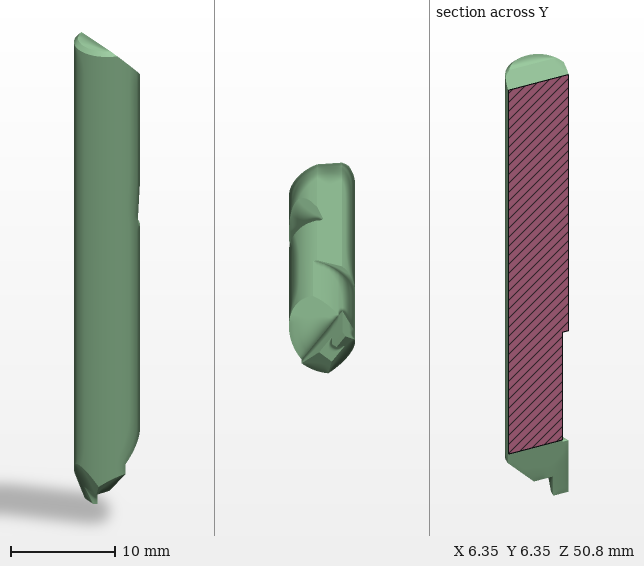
import cadquery as cq
import math

shank_diameter = 6.35
radius = shank_diameter / 2
length = 50.8
end_chamfer = 0.4
margin = 5.0

bevel_start_y = -1.28

notch_floor_z = 30.7
notch_top_z = 39.7
notch_slope = math.radians(10)
notch_fillet = 1.0

flat_start_y = 0.05
flat_end_y = 2.3

neck_bottom_z = 6.1
neck_top_z = 19.1
neck_x = -2.56
neck_half_width = 2.55
neck_radius = 5.3

rake_plane_y = 0.0
tip_bevel_top_z = 9.5
tip_width = 1.6
tip_notch_z = 2.28
heel_x = 0.45
heel_top_z = 5.25
side_relief_end_y = -2.2
land_y = -0.55
land_z = 0.17
front_relief_z = 5.73


def shank_x(y):
    """X of the -X side of the shank surface at a given Y."""
    return -math.sqrt(radius**2 - y**2)


def extrude_across(profile):
    """Turn a closed (Y, Z) sketch into a body spanning the shank in X."""
    return profile.close().extrude(radius + margin, both=True)


def shank():
    half_profile = [
        (0, 0),
        (radius, 0),
        (radius, length - end_chamfer),
        (radius - end_chamfer, length),
        (0, length),
    ]
    return cq.Workplane("XZ").polyline(half_profile).close().revolve(360, (0, 0), (0, 1))


def end_bevel():
    run = radius + margin - bevel_start_y
    rise = margin
    profile = cq.Workplane("YZ").polyline([
        (bevel_start_y - rise, length + rise),
        (bevel_start_y + run, length - run),
        (bevel_start_y + run, length + rise),
    ])
    return extrude_across(profile)


def clamping_notch():
    floor_y = radius - (notch_top_z - notch_floor_z) * math.tan(notch_slope)
    outer_y = radius + margin
    outer_z = notch_top_z + margin / math.tan(notch_slope)
    profile = cq.Workplane("YZ").polyline([
        (floor_y, notch_floor_z),
        (outer_y, notch_floor_z),
        (outer_y, outer_z),
    ])
    return extrude_across(profile).edges("|X and <Y").fillet(notch_fillet)


def orientation_flat():
    start_x = shank_x(flat_start_y)
    end_x = shank_x(flat_end_y)
    outline = [
        (start_x, flat_start_y),
        (end_x, flat_end_y),
        (end_x - margin, flat_end_y),
        (start_x - margin, flat_start_y),
    ]
    return (
        cq.Workplane("XY", origin=(0, 0, neck_bottom_z))
        .polyline(outline)
        .close()
        .extrude(length - neck_bottom_z)
    )


def neck_relief():
    end_x = shank_x(neck_half_width)
    outer_x = -radius - margin
    return (
        cq.Workplane("XY", origin=(0, 0, neck_bottom_z))
        .moveTo(outer_x, -neck_half_width)
        .lineTo(end_x, -neck_half_width)
        .radiusArc((neck_x, 0), neck_radius)
        .radiusArc((end_x, neck_half_width), neck_radius)
        .lineTo(outer_x, neck_half_width)
        .close()
        .extrude(neck_top_z - neck_bottom_z)
    )


def rake_face():
    """Space behind the cutting tip: 45 degree bevel running into the rake plane."""
    outer_y = radius + margin
    rake_top_z = tip_bevel_top_z - (radius - rake_plane_y)
    profile = cq.Workplane("YZ").polyline([
        (rake_plane_y, -margin),
        (rake_plane_y, rake_top_z),
        (outer_y, tip_bevel_top_z + margin),
        (outer_y, -margin),
    ])
    return extrude_across(profile)


def front_relief_height(y):
    """Z of the steep front relief plane at a given Y."""
    slope = (front_relief_z - land_z) / (radius + land_y)
    return land_z + slope * (land_y - y)


def front_relief():
    """Space under the tip: a narrow land, then a steep relief to the front."""
    outer_y = -radius - margin
    profile = cq.Workplane("YZ").polyline([
        (rake_plane_y, 0),
        (land_y, land_z),
        (outer_y, front_relief_height(outer_y)),
        (outer_y, -margin),
        (rake_plane_y, -margin),
    ])
    return extrude_across(profile)


def heel_clearance():
    """Step beside the tip and the slanted heel on the +X side."""
    tip_x = -radius + tip_width
    heel_slope = (heel_top_z - tip_notch_z) / (radius - heel_x)
    outer_x = radius + margin
    return (
        cq.Workplane("XZ")
        .polyline([
            (tip_x, -margin),
            (tip_x, tip_notch_z),
            (heel_x, tip_notch_z),
            (outer_x, heel_top_z + heel_slope * margin),
            (outer_x, -margin),
        ])
        .close()
        .extrude(radius + margin, both=True)
    )


def side_relief():
    """Clearance plane on the -X side of the tip, starting at the cutting edge."""
    outer_x = -radius - margin
    return (
        cq.Workplane("XY", origin=(0, 0, -margin))
        .polyline([
            (-radius, rake_plane_y),
            (shank_x(side_relief_end_y), side_relief_end_y),
            (outer_x, side_relief_end_y),
            (outer_x, rake_plane_y),
        ])
        .close()
        .extrude(neck_bottom_z + margin)
    )


result = (
    shank()
    .cut(end_bevel())
    .cut(clamping_notch())
    .cut(orientation_flat())
    .cut(neck_relief())
    .cut(rake_face())
    .cut(front_relief())
    .cut(heel_clearance())
    .cut(side_relief())
    .solids()
)